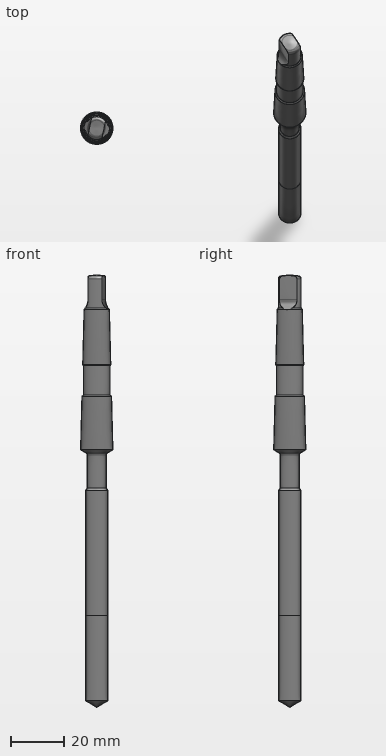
import cadquery as cq
import math

total_length = 162.0

drill_radius = 4.2
tip_height = 2.6
cutting_length = 34.3
shoulder_start = 81.3
shoulder_end = 82.1
neck_radius = 3.5

neck_end = 94.6
neck_fillet = 0.8
taper_radius = 6.08
face_slope = math.radians(30)
fillet_end_radius = neck_radius + neck_fillet * (1 - math.sin(face_slope))
fillet_end_height = neck_end + neck_fillet * math.cos(face_slope)
taper_start = fillet_end_height + (taper_radius - fillet_end_radius) * math.tan(face_slope)
taper_slope = 0.025
relief_radius = 5.0
relief_start = 116.5
relief_end = 128.5
relief_chamfer = 0.5
taper_end = 149.0

tang_radius = 4.3
tang_start = 149.7
tang_thickness = 5.3
tang_angle = -12.0
tang_rounding = 1.3
tang_crown = 0.3
runout_top = 152.8
runout_radius = 4.5


def taper_radius_at(height):
    """Radius of the taper surface at the given height."""
    return taper_radius - taper_slope * (height - taper_start)


def make_cutting_portion():
    """Cylindrical cutting portion with a conical point."""
    profile = (
        cq.Workplane("XZ")
        .lineTo(drill_radius, tip_height)
        .lineTo(drill_radius, cutting_length)
        .lineTo(0, cutting_length)
        .close()
    )
    return profile.revolve(360, (0, 0), (0, 1))


def make_tang_cutter(turn):
    """Material removed beside one tang flat, ending below in a round run-out."""
    flat_x = tang_thickness / 2
    clear_x = flat_x + runout_radius
    outline = (
        cq.Workplane("XZ")
        .moveTo(flat_x, total_length)
        .lineTo(flat_x, runout_top)
        .radiusArc((clear_x, runout_top - runout_radius), -runout_radius)
        .lineTo(clear_x, total_length)
        .close()
    )
    cutter = outline.extrude(taper_radius, both=True)
    return cutter.rotate((0, 0, 0), (0, 0, 1), turn)


def make_turned_shank():
    """Plain drill portion, neck, relieved taper and round tang blank."""
    tang_edge = total_length - tang_crown
    profile = (
        cq.Workplane("XZ")
        .moveTo(0, cutting_length)
        .lineTo(drill_radius, cutting_length)
        .lineTo(drill_radius, shoulder_start)
        .lineTo(neck_radius, shoulder_end)
        .lineTo(neck_radius, neck_end)
        .tangentArcPoint((fillet_end_radius, fillet_end_height), relative=False)
        .lineTo(taper_radius, taper_start)
        .lineTo(taper_radius_at(relief_start), relief_start)
        .lineTo(relief_radius, relief_start + relief_chamfer)
        .lineTo(relief_radius, relief_end - relief_chamfer)
        .lineTo(taper_radius_at(relief_end), relief_end)
        .lineTo(taper_radius_at(taper_end), taper_end)
        .lineTo(tang_radius, tang_start)
        .lineTo(tang_radius, tang_edge - tang_rounding)
        .tangentArcPoint((tang_radius - tang_rounding, tang_edge), relative=False)
        .lineTo(0, total_length)
        .close()
    )
    return profile.revolve(360, (0, 0), (0, 1))


def make_shank():
    """Turned shank with two opposite flats milled on the tang."""
    shank = make_turned_shank()
    for turn in (tang_angle, tang_angle + 180):
        shank = shank.cut(make_tang_cutter(turn))
    return shank


cutting_portion = make_cutting_portion()
shank = make_shank()

result = cq.Compound.makeCompound([cutting_portion.val(), shank.val()])